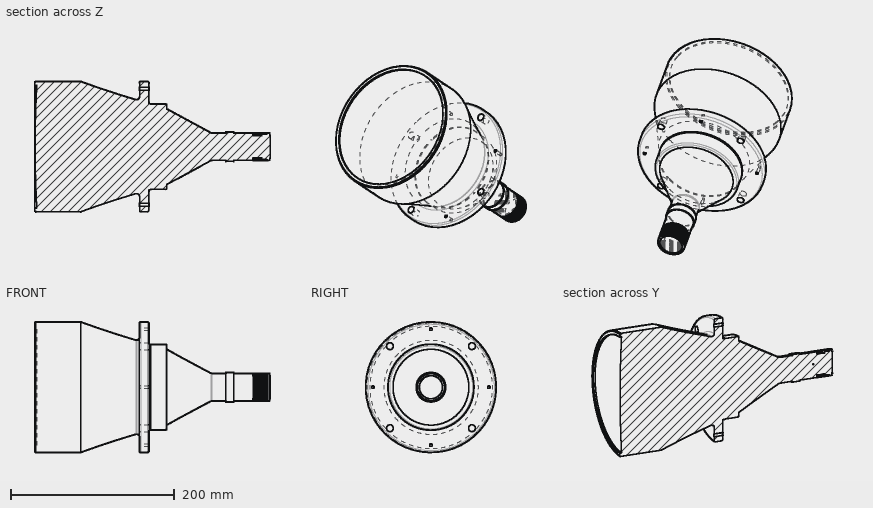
import cadquery as cq

length = 288.2

barrel_diameter = 160.0
barrel_radius = barrel_diameter / 2
barrel_length = 56.2
barrel_chamfer = 1.2
glass_radius = 75.0
glass_recess = 0.3
glass_bulge = 2.0

neck_radius = 57.5
neck_front_x = 124.0
taper_bow = 0.5
neck_round = 3.2

flange_front_x = 128.0
flange_back_x = 140.0
flange_radius = barrel_radius
flange_front_round = 1.7
flange_back_round = 2.5

hole_count = 4
hole_circle_radius = 71.0
bolt_hole_diameter = 8.5
bolt_hole_angle = 45.0
pin_hole_diameter = 3.2
pin_hole_angle = 0.0

collar_radius = 52.5
collar_back_x = 161.7
collar_round = 1.7
spigot_radius = 52.7
spigot_back_x = 141.8

cone_radius = 46.5
cone_back_x = 216.0
cone_round = 3.5
tube_radius = 17.0
tube_back_x = 287.5
tube_end_chamfer_length = 1.2
tube_end_chamfer_depth = 0.3
end_boss_radius = 14.0

ring_front_x = 233.7
ring_back_x = 243.5
ring_radius = 18.2

first_groove_x = 267.2
grooved_length = 18.2
groove_width = 1.2
deep_groove_count = 4
deep_groove_radius = 13.8
shallow_groove_count = 2
shallow_groove_radius = 15.5
groove_pitch = grooved_length / (deep_groove_count + shallow_groove_count)

score_x = 284.2
score_width = 1.0
score_depth = 0.3


def cylinder(front_x, back_x, radius):
    """Solid cylinder about the X axis."""
    return cq.Workplane("YZ").workplane(offset=front_x).circle(radius).extrude(back_x - front_x)


def revolve_about_x(half_profile):
    """Close a half outline in the XY plane and turn it about the X axis."""
    return half_profile.close().revolve(360, (0, 0, 0), (1, 0, 0))


def make_barrel():
    """Barrel with its domed front glass, taper and the rounded neck that meets the flange."""
    taper_mid_x = (barrel_length + neck_front_x) / 2
    taper_mid_radius = (barrel_radius + neck_radius) / 2 - taper_bow
    glass_edge_x = glass_recess + glass_bulge
    glass_mid_x = glass_recess + glass_bulge / 4
    half_profile = (
        cq.Workplane("XY")
        .moveTo(glass_recess, 0)
        .threePointArc((glass_mid_x, glass_radius / 2), (glass_edge_x, glass_radius))
        .lineTo(0, glass_radius)
        .lineTo(0, barrel_radius - barrel_chamfer)
        .lineTo(barrel_chamfer, barrel_radius)
        .lineTo(barrel_length, barrel_radius)
        .threePointArc((taper_mid_x, taper_mid_radius), (neck_front_x, neck_radius))
        .lineTo(flange_front_x - neck_round, neck_radius)
        .radiusArc((flange_front_x, neck_radius + neck_round), -neck_round)
        .lineTo(flange_front_x, 0)
    )
    return revolve_about_x(half_profile)


def make_flange():
    flange = cylinder(flange_front_x, flange_back_x, flange_radius)
    flange = flange.faces("<X").edges().fillet(flange_front_round)
    return flange.faces(">X").edges().fillet(flange_back_round)


def flange_hole_cutter(diameter, start_angle):
    """Equally spaced cylinders that cut holes right through the flange."""
    return (
        cq.Workplane("YZ")
        .workplane(offset=flange_front_x)
        .polarArray(hole_circle_radius, start_angle, 360, hole_count)
        .circle(diameter / 2)
        .extrude(flange_back_x - flange_front_x)
    )


def make_collar():
    collar = cylinder(flange_back_x, collar_back_x, collar_radius)
    collar = collar.faces(">X").edges().fillet(collar_round)
    return collar.union(cylinder(flange_back_x, spigot_back_x, spigot_radius))


def make_cone_and_tube():
    """Rear cone running into the tube through a small rounded corner, with a low boss on its end."""
    half_profile = (
        cq.Workplane("XY")
        .moveTo(collar_back_x, 0)
        .lineTo(collar_back_x, cone_radius)
        .lineTo(cone_back_x, tube_radius)
        .lineTo(tube_back_x - tube_end_chamfer_length, tube_radius)
        .lineTo(tube_back_x, tube_radius - tube_end_chamfer_depth)
        .lineTo(tube_back_x, 0)
    )
    body = revolve_about_x(half_profile)
    cone_end = cq.selectors.BoxSelector(
        (cone_back_x - cone_round, -barrel_radius, -barrel_radius),
        (cone_back_x + cone_round, barrel_radius, barrel_radius),
    )
    body = body.edges("%CIRCLE").edges(cone_end).fillet(cone_round)
    return body.union(cylinder(tube_back_x, length, end_boss_radius))


def groove_cutter(front_x, width, floor_radius):
    """Square ring that cuts a groove into the tube, down to the floor radius."""
    back_x = front_x + width
    return cylinder(front_x, back_x, ring_radius).cut(cylinder(front_x, back_x, floor_radius))


result = (
    make_barrel()
    .union(make_flange())
    .union(make_collar())
    .union(make_cone_and_tube())
    .union(cylinder(ring_front_x, ring_back_x, ring_radius))
    .cut(flange_hole_cutter(bolt_hole_diameter, bolt_hole_angle))
    .cut(flange_hole_cutter(pin_hole_diameter, pin_hole_angle))
)

floor_radii = [deep_groove_radius] * deep_groove_count + [shallow_groove_radius] * shallow_groove_count
for index, floor_radius in enumerate(floor_radii):
    result = result.cut(groove_cutter(first_groove_x + index * groove_pitch, groove_width, floor_radius))
result = result.cut(groove_cutter(score_x, score_width, tube_radius - score_depth))